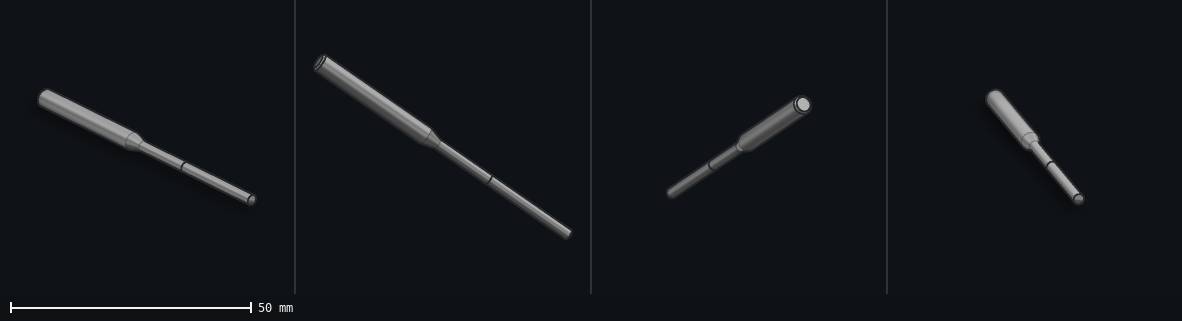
import cadquery as cq

total_length = 66.0
shank_diameter = 4.0
shank_length = 28.0
shank_chamfer = 0.45
taper_length = 3.2
neck_diameter = 2.3
cutter_start = 44.6
tip_length = 0.45

shank_radius = shank_diameter / 2
neck_radius = neck_diameter / 2
taper_end = shank_length + taper_length


def make_shank():
    """Chamfered shank, tapering down to a plain neck."""
    return (
        cq.Workplane("XY")
        .moveTo(0, 0)
        .lineTo(0, shank_radius - shank_chamfer)
        .lineTo(shank_chamfer, shank_radius)
        .lineTo(shank_length, shank_radius)
        .lineTo(taper_end, neck_radius)
        .lineTo(cutter_start, neck_radius)
        .lineTo(cutter_start, 0)
        .close()
        .revolve(360, (0, 0, 0), (1, 0, 0))
    )


def make_cutter():
    """Cylindrical cutting length ending in a conical point."""
    return (
        cq.Workplane("XY")
        .moveTo(cutter_start, 0)
        .lineTo(cutter_start, neck_radius)
        .lineTo(total_length - tip_length, neck_radius)
        .lineTo(total_length, 0)
        .close()
        .revolve(360, (0, 0, 0), (1, 0, 0))
    )


shank = make_shank()
cutter = make_cutter()

result = cq.Compound.makeCompound([shank.val(), cutter.val()])